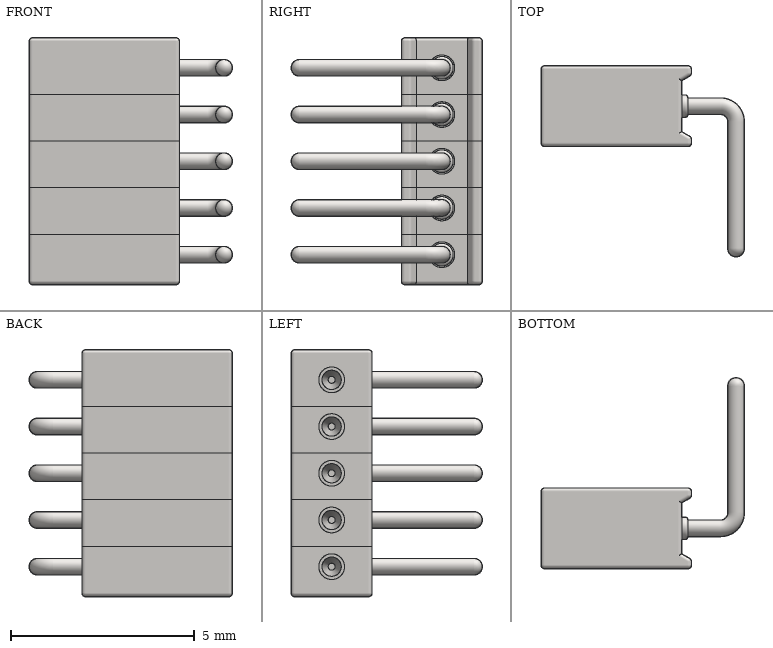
import cadquery as cq

unit_count = 5
pitch = 1.27
stack_height = 6.73
total_length = 5.54
total_depth = 5.21

housing_length = 4.1
housing_width = 2.21
edge_round = 0.1
notch_depth = 0.26
notch_floor_width = 1.385
notch_mouth_width = 1.695

barrel_radius = 0.35
socket_radius = 0.26
socket_depth = 2.69
socket_cone_length = 1.05
socket_floor_radius = 0.095
wire_radius = 0.23
bend_radius = 0.425
collar_radius = 0.31
collar_length = 0.16
collar_round = 0.075

first_axis_z = (stack_height - (unit_count - 1) * pitch) / 2
axis_heights = [first_axis_z + i * pitch for i in range(unit_count)]
seam_drop = first_axis_z - edge_round
notch_floor_x = housing_length - notch_depth
tail_x = total_length - wire_radius
tail_end_y = housing_width / 2 - total_depth


def make_housing_stack():
    """The outer shape of all the units together, with rounded edges and the rear notch."""
    half_width = housing_width / 2
    half_mouth = notch_mouth_width / 2
    half_floor = notch_floor_width / 2
    outline = [
        (0, -half_width),
        (housing_length, -half_width),
        (housing_length, -half_mouth),
        (notch_floor_x, -half_floor),
        (notch_floor_x, half_floor),
        (housing_length, half_mouth),
        (housing_length, half_width),
        (0, half_width),
    ]
    stack = cq.Workplane("XY").polyline(outline).close().extrude(stack_height)
    front_edges = stack.edges("|Z and <X")
    rear_edges = stack.edges("|Z and >X")
    stack = stack.newObject(front_edges.vals() + rear_edges.vals()).fillet(edge_round)
    return stack.faces("<Z or >Z").edges().fillet(edge_round)


def make_housing(stack, index):
    """One unit, cut from the stack between its two joints, with a through hole for its pin."""
    bottom = 0 if index == 0 else axis_heights[index] - seam_drop
    top = stack_height if index == unit_count - 1 else axis_heights[index + 1] - seam_drop
    slab = (
        cq.Workplane("XY", origin=(0, 0, bottom))
        .rect(2 * housing_length, 2 * housing_width)
        .extrude(top - bottom)
    )
    pin_hole = make_barrel_blank().translate((0, 0, axis_heights[index]))
    return stack.intersect(slab).cut(pin_hole).solids().val()


def make_barrel_blank():
    """The solid cylinder that a barrel fills, from the housing front to the notch floor."""
    return cq.Workplane("YZ").circle(barrel_radius).extrude(notch_floor_x)


def make_socket():
    """The bore in a barrel's front end: straight wall, long tapered end and small flat floor."""
    outline = [
        (0, 0),
        (0, socket_radius),
        (socket_depth - socket_cone_length, socket_radius),
        (socket_depth, socket_floor_radius),
        (socket_depth, 0),
    ]
    return cq.Workplane("XY").polyline(outline).close().revolve(360, (0, 0, 0), (1, 0, 0))


def make_collar():
    """The short rounded shoulder behind the notch floor."""
    collar = cq.Workplane("YZ", origin=(notch_floor_x, 0, 0)).circle(collar_radius).extrude(collar_length)
    return collar.faces(">X").edges().fillet(collar_round)


def make_tail():
    """The round wire, bent from +X to -Y, with a domed tip."""
    straight_end_y = tail_end_y + wire_radius
    path = (
        cq.Workplane("XY")
        .moveTo(notch_floor_x, 0)
        .lineTo(tail_x - bend_radius, 0)
        .radiusArc((tail_x, -bend_radius), bend_radius)
        .lineTo(tail_x, straight_end_y)
    )
    wire = cq.Workplane("YZ", origin=(notch_floor_x, 0, 0)).circle(wire_radius).sweep(path)
    tip = cq.Workplane("XY").sphere(wire_radius).translate((tail_x, straight_end_y, 0))
    return wire.union(tip)


def make_pin(axis_z):
    """One complete pin with its socket axis at the given height."""
    barrel = make_barrel_blank().cut(make_socket())
    pin = barrel.union(make_collar()).union(make_tail())
    return pin.translate((0, 0, axis_z)).solids().val()


housing_stack = make_housing_stack()
housings = [make_housing(housing_stack, i) for i in range(unit_count)]
pins = [make_pin(z) for z in axis_heights]
result = cq.Compound.makeCompound([*housings, *pins])